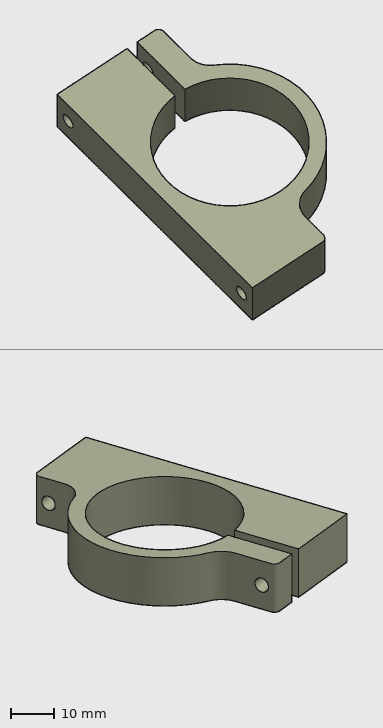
import cadquery as cq
import math

length = 72.0
thickness = 12.7

ring_radius = 45.0 / 2
bore_radius = 18.4
base_depth = ring_radius

ear_height = 8.2
shoulder_height = 0.0
blend_radius = 6.0
corner_radius = 1.5

gap_width = 2.95
hole_diameter = 3.7
hole_edge_distance = 4.0

half_length = length / 2
hole_x = half_length - hole_edge_distance


def blend_points(height, side):
    """Ring tangent, arc middle and flat tangent of the fillet between the ring and a flat top."""
    center_y = height + blend_radius
    center_distance = ring_radius + blend_radius
    center_x = side * math.sqrt(center_distance**2 - center_y**2)
    ring_share = ring_radius / center_distance
    ring_tangent = (center_x * ring_share, center_y * ring_share)
    flat_tangent = (center_x, height)
    toward_x = -center_x / center_distance
    toward_y = -center_y / center_distance - 1
    reach = blend_radius / math.hypot(toward_x, toward_y)
    middle = (center_x + toward_x * reach, center_y + toward_y * reach)
    return ring_tangent, middle, flat_tangent


def clamp_body():
    """Base, ear, shoulder and ring as one extruded outline with rounded top corners."""
    ear_ring, ear_middle, ear_flat = blend_points(ear_height, -1)
    shoulder_ring, shoulder_middle, shoulder_flat = blend_points(shoulder_height, 1)
    body = (
        cq.Workplane("XY")
        .moveTo(-half_length, -base_depth)
        .lineTo(half_length, -base_depth)
        .lineTo(half_length, shoulder_height)
        .lineTo(*shoulder_flat)
        .threePointArc(shoulder_middle, shoulder_ring)
        .threePointArc((0, ring_radius), ear_ring)
        .threePointArc(ear_middle, ear_flat)
        .lineTo(-half_length, ear_height)
        .close()
        .extrude(thickness)
    )
    for corner in ((-half_length, ear_height), (half_length, shoulder_height)):
        edge = cq.selectors.NearestToPointSelector((*corner, thickness / 2))
        body = body.edges("|Z").edges(edge).fillet(corner_radius)
    return body


def bore():
    return cq.Workplane("XY").circle(bore_radius).extrude(thickness)


def clamping_gap():
    """Slot from the left end into the bore."""
    return cq.Workplane("XY").center(-half_length / 2, 0).rect(half_length, gap_width).extrude(thickness)


def screw_holes():
    """Holes running front to back through the whole part, one near each end."""
    return (
        cq.Workplane("XZ", origin=(0, 0, thickness / 2))
        .pushPoints([(-hole_x, 0), (hole_x, 0)])
        .circle(hole_diameter / 2)
        .extrude(base_depth + ear_height, both=True)
    )


result = clamp_body().cut(bore()).cut(clamping_gap()).cut(screw_holes())